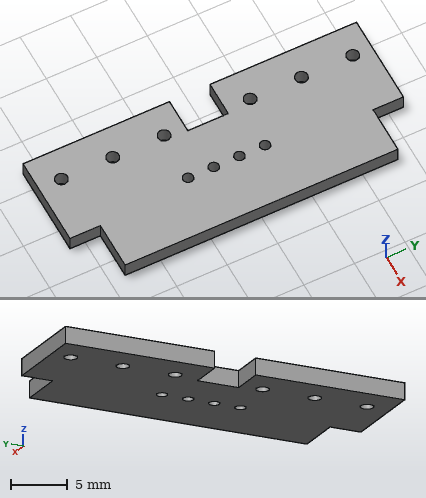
import cadquery as cq

board_length = 33.0
board_width = 13.75
thickness = 1.6

end_width = 9.0
step_length = 3.0

notch_depth = 3.5
notch_length = 4.0

large_diameter = 1.2
large_pitch = 5.08
large_count = 3
large_x = 3.0
upper_group_y = 9.5
lower_group_y = -9.17

small_diameter = 1.0
small_pitch = 2.54
small_count = 4
small_x = 8.0
small_row_y = -0.49


def make_block(x_size, y_size):
    """Full-thickness block running from the -X edge, centred on Y."""
    return cq.Workplane("XY").box(x_size, y_size, thickness, centered=(False, True, False))


def make_board():
    """Plate with stepped +X corners and a notch in the -X edge."""
    ends = make_block(end_width, board_length)
    middle = make_block(board_width, board_length - 2 * step_length)
    notch = make_block(notch_depth, notch_length)
    return ends.union(middle).cut(notch)


def drill_row(board, x, y_center, count, pitch, diameter):
    """Drill a row of through holes along Y, centred on y_center."""
    first_y = y_center - pitch * (count - 1) / 2
    centers = [(x, first_y + i * pitch) for i in range(count)]
    drills = cq.Workplane("XY").pushPoints(centers).circle(diameter / 2).extrude(thickness)
    return board.cut(drills)


result = make_board()
for group_y in (upper_group_y, lower_group_y):
    result = drill_row(result, large_x, group_y, large_count, large_pitch, large_diameter)
result = drill_row(result, small_x, small_row_y, small_count, small_pitch, small_diameter)